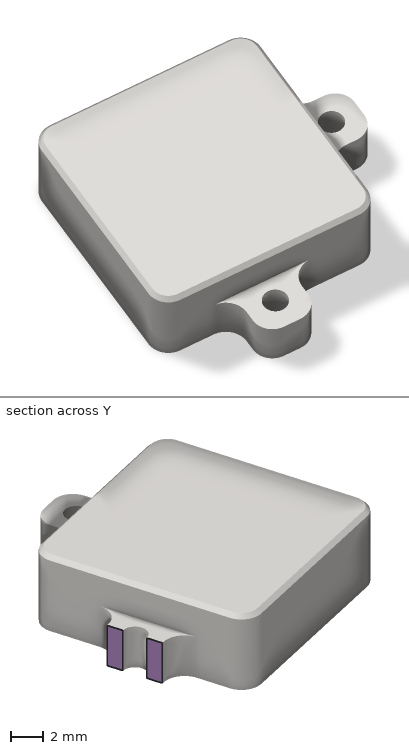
import cadquery as cq

overall_size = 19.48
body_size = 15.82
body_height = 5.5
corner_radius = 1.45
top_chamfer = 0.3

ear_height = 3.0
ear_width = 4.0
ear_tip_radius = 1.4
ear_root_radius = 1.5
hole_diameter = 1.7
hole_edge_distance = 2.03
ear_x_on_back = 7.3
ear_y_on_right = 7.35

ear_reach = overall_size - body_size


def make_body():
    """Rounded square block with one corner of its bounding box at the origin."""
    return (
        cq.Workplane("XY")
        .box(body_size, body_size, body_height, centered=False)
        .edges("|Z").fillet(corner_radius)
        .faces(">Z").edges().chamfer(top_chamfer)
    )


def make_ear():
    """Ear pointing to +Y, rooted on the X axis, flared at the root and rounded at the tip."""
    half = ear_width / 2
    flare = half + ear_root_radius
    tip = half - ear_tip_radius
    shoulder = ear_reach - ear_tip_radius
    return (
        cq.Workplane("XY")
        .moveTo(-flare, 0)
        .radiusArc((-half, ear_root_radius), -ear_root_radius)
        .lineTo(-half, shoulder)
        .radiusArc((-tip, ear_reach), ear_tip_radius)
        .lineTo(tip, ear_reach)
        .radiusArc((half, shoulder), ear_tip_radius)
        .lineTo(half, ear_root_radius)
        .radiusArc((flare, 0), -ear_root_radius)
        .close()
        .extrude(ear_height)
        .cut(
            cq.Workplane("XY")
            .center(0, ear_reach - hole_edge_distance)
            .circle(hole_diameter / 2)
            .extrude(ear_height)
        )
    )


back_ear = make_ear().translate((ear_x_on_back, body_size, 0))
right_ear = (
    make_ear()
    .rotate((0, 0, 0), (0, 0, 1), -90)
    .translate((body_size, ear_y_on_right, 0))
)

result = make_body().union(back_ear).union(right_ear)